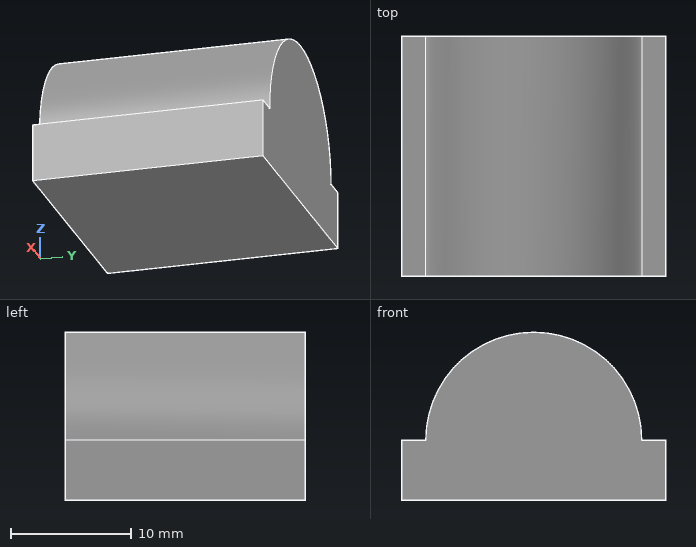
import cadquery as cq

base_width = 22.0
length = 20.0
base_height = 5.0
dome_radius = 9.0

half_width = base_width / 2
profile = (
    cq.Workplane("XZ")
    .moveTo(-half_width, 0)
    .lineTo(half_width, 0)
    .lineTo(half_width, base_height)
    .lineTo(dome_radius, base_height)
    .threePointArc((0, base_height + dome_radius), (-dome_radius, base_height))
    .lineTo(-half_width, base_height)
    .close()
)

result = profile.extrude(length / 2, both=True)